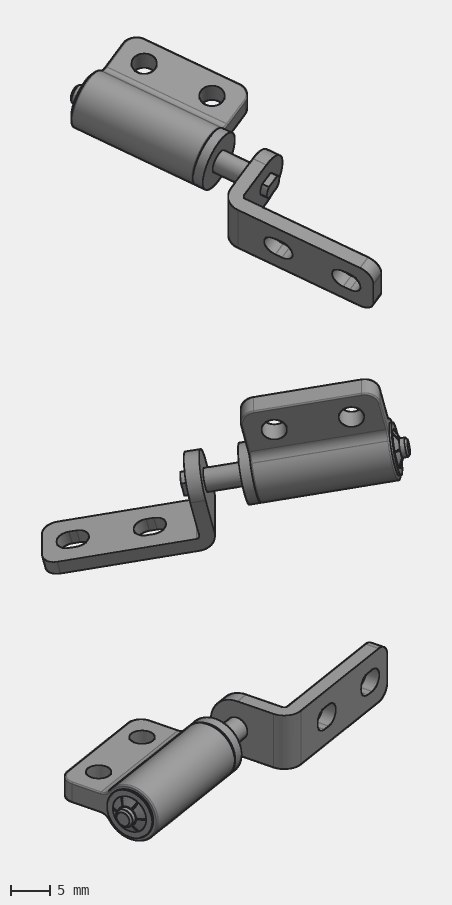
import cadquery as cq
import math


barrel_radius = 4.0
barrel_start = 1.8
barrel_length = 18.0
barrel_end = barrel_start + barrel_length
barrel_middle = barrel_start + barrel_length / 2
leaf_reach = 11.0
leaf_thickness = 3.05
leaf_corner_radius = 2.0
blend_radius = 1.6
edge_rounding = 0.2
leaf_hole_diameter = 3.2
leaf_hole_y = 7.5
hole_pitch = 10.0

flange_thickness = 1.45
flange_end = barrel_end + flange_thickness

bracket_gap = 5.05
bracket_start = flange_end + bracket_gap
bracket_end = 48.8
bracket_thickness = 2.0
bracket_drop = 8.0
bracket_half_width = barrel_radius
bend_outer_radius = 2.5
bend_inner_radius = bend_outer_radius - bracket_thickness
bracket_corner_radius = 2.0
slot_length = 4.2
slot_width = 3.2
slot_end_distance = 4.0

pin_radius = 1.55
pin_protrusion = 1.0
pin_end = bracket_start + bracket_thickness + pin_protrusion
pin_flat_height = 1.15
pin_tip_radius = 1.25
pin_tip_chamfer = 0.3

cap_radius = 3.4
cap_thickness = 0.3
cap_face = barrel_start - cap_thickness
cone_base_radius = 2.55
cone_top_radius = 1.35
cone_height = 0.55
slit_count = 6
slit_width = 0.15


def x_cylinder(radius, start, end):
    return cq.Workplane("YZ", origin=(start, 0, 0)).circle(radius).extrude(end - start)


def make_barrel_leaf():
    """Barrel blended into a flat leaf, with rounded edges and two screw holes."""
    half = leaf_thickness / 2
    blend_z = half + blend_radius
    centre_distance = barrel_radius + blend_radius
    blend_y = math.sqrt(centre_distance**2 - blend_z**2)
    tangent_y = blend_y * barrel_radius / centre_distance
    tangent_z = blend_z * barrel_radius / centre_distance
    mid_angle = (math.atan2(-blend_z, -blend_y) - math.pi / 2) / 2
    mid_y = blend_y + blend_radius * math.cos(mid_angle)
    mid_z = blend_z + blend_radius * math.sin(mid_angle)
    body = (
        cq.Workplane("YZ", origin=(barrel_start, 0, 0))
        .moveTo(leaf_reach, half)
        .lineTo(blend_y, half)
        .threePointArc((mid_y, mid_z), (tangent_y, tangent_z))
        .threePointArc((-barrel_radius, 0), (tangent_y, -tangent_z))
        .threePointArc((mid_y, -mid_z), (blend_y, -half))
        .lineTo(leaf_reach, -half)
        .close()
        .extrude(barrel_length)
    )
    body = body.edges("|Z and >Y").fillet(leaf_corner_radius)
    body = body.faces("<X").edges("not |Z").fillet(edge_rounding)
    holes = (
        cq.Workplane("XY", origin=(0, 0, -half))
        .pushPoints([(barrel_middle + side * hole_pitch / 2, leaf_hole_y) for side in (-1, 1)])
        .circle(leaf_hole_diameter / 2)
        .extrude(leaf_thickness)
    )
    return body.cut(holes)


def make_bracket():
    """L-shaped strip: a round-ended arm on the pin and a long slotted mounting leg."""
    leg_inner_y = -bracket_drop + bracket_thickness
    arm_outer_x = bracket_start + bracket_thickness
    strip = (
        cq.Workplane("XY", origin=(0, 0, -bracket_half_width))
        .moveTo(bracket_start, bracket_half_width)
        .lineTo(bracket_start, -bracket_drop)
        .lineTo(bracket_end, -bracket_drop)
        .lineTo(bracket_end, leg_inner_y)
        .lineTo(arm_outer_x, leg_inner_y)
        .lineTo(arm_outer_x, bracket_half_width)
        .close()
        .extrude(2 * bracket_half_width)
    )
    strip = strip.edges("|Z and <X and <Y").fillet(bend_outer_radius)
    inner_corner = cq.selectors.NearestToPointSelector((arm_outer_x, leg_inner_y, 0))
    strip = strip.edges(inner_corner).fillet(bend_inner_radius)
    strip = strip.edges("|Y and >X").fillet(bracket_corner_radius)

    arm_end = x_cylinder(bracket_half_width, bracket_start, arm_outer_x)
    square_end = cq.Workplane("XY").box(
        bracket_thickness, bracket_half_width, 2 * bracket_half_width, centered=(False, False, True)
    )
    strip = strip.cut(square_end.translate((bracket_start, 0, 0))).union(arm_end)

    last_slot_x = bracket_end - slot_end_distance
    slots = (
        cq.Workplane("XZ")
        .pushPoints([(last_slot_x - hole_pitch, 0), (last_slot_x, 0)])
        .slot2D(slot_length, slot_width)
        .extrude(bracket_drop)
        .translate((0, -bracket_thickness / 2, 0))
    )
    return strip.cut(slots)


def make_pin():
    """Shaft with a chamfered slim tip on the left and two flats on the right end."""
    shaft = x_cylinder(pin_radius, barrel_start, bracket_start + bracket_thickness)
    tip = x_cylinder(pin_tip_radius, 0, barrel_start).faces("<X").chamfer(pin_tip_chamfer)
    flatted_end = x_cylinder(pin_radius, bracket_start, pin_end).intersect(
        cq.Workplane("XY").box(2 * pin_end, 2 * pin_radius, 2 * pin_flat_height)
    )
    return shaft.union(tip).union(flatted_end)


def make_cap():
    """Thin disc with a raised cone split into fingers by radial slits."""
    disc = x_cylinder(cap_radius, cap_face, barrel_start)
    cone_top = cap_face - cone_height
    cone = (
        cq.Workplane("XY")
        .moveTo(cone_top, 0)
        .lineTo(cone_top, cone_top_radius)
        .lineTo(cap_face, cone_base_radius)
        .lineTo(cap_face, 0)
        .close()
        .revolve(360, (0, 0, 0), (1, 0, 0))
    )
    slit = cq.Workplane("XY").box(
        cone_height, cone_base_radius, slit_width, centered=(False, False, True)
    ).translate((cone_top, 0, 0))
    for index in range(slit_count):
        cone = cone.cut(slit.rotate((0, 0, 0), (1, 0, 0), index * 360 / slit_count))
    return disc.union(cone)


flange = x_cylinder(barrel_radius, barrel_end, flange_end)

result = make_barrel_leaf().union(flange).union(make_bracket()).union(make_cap()).union(make_pin())